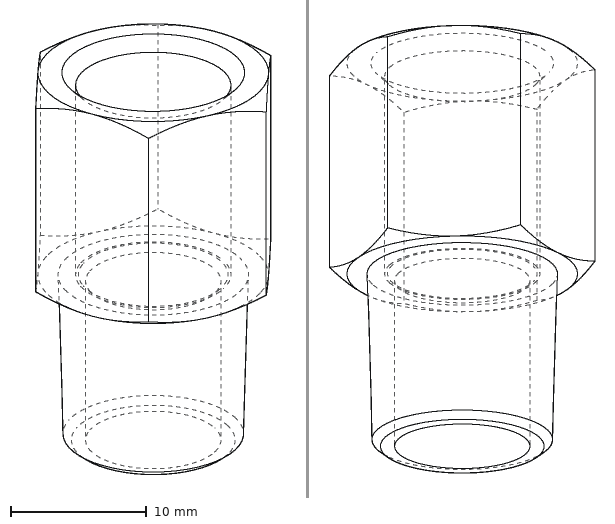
import cadquery as cq
import math

total_height = 29.9
hex_height = 16.45
across_flats = 17.0
across_corners = across_flats / math.cos(math.pi / 6)

corner_chamfer_angle = math.radians(30)
corner_chamfer_width = (across_corners - across_flats) / 2
corner_chamfer_height = corner_chamfer_width * math.tan(corner_chamfer_angle)

spigot_top_diameter = 14.05
spigot_bottom_diameter = 13.35
spigot_chamfer_width = 0.63
spigot_chamfer_height = 0.5

mouth_diameter = 13.48
socket_diameter = 11.45
seat_diameter = 11.03
bore_diameter = 10.0
socket_depth = hex_height
mouth_depth = (mouth_diameter - socket_diameter) / 2
seat_depth = (seat_diameter - bore_diameter) / 2

spigot_height = total_height - hex_height


def revolved(profile):
    """Revolve a closed (radius, height) profile about the Z axis."""
    return cq.Workplane("XZ").polyline(profile).close().revolve(360, (0, 0), (0, 1))


def hexagon_body():
    """Hexagonal prism whose corners are cut by a cone at both ends."""
    prism = (
        cq.Workplane("XY")
        .workplane(offset=spigot_height)
        .polygon(6, across_corners)
        .extrude(hex_height)
    )
    envelope = revolved([
        (0, spigot_height),
        (across_flats / 2, spigot_height),
        (across_corners / 2, spigot_height + corner_chamfer_height),
        (across_corners / 2, total_height - corner_chamfer_height),
        (across_flats / 2, total_height),
        (0, total_height),
    ])
    return prism.intersect(envelope)


def tapered_spigot():
    """Round shank narrowing downwards, with a chamfered lower edge."""
    return revolved([
        (0, 0),
        (spigot_bottom_diameter / 2 - spigot_chamfer_width, 0),
        (spigot_bottom_diameter / 2, spigot_chamfer_height),
        (spigot_top_diameter / 2, spigot_height),
        (0, spigot_height),
    ])


def stepped_bore():
    """Through bore, conical seat, wider socket and its conical mouth."""
    return revolved([
        (0, 0),
        (bore_diameter / 2, 0),
        (bore_diameter / 2, total_height - socket_depth - seat_depth),
        (seat_diameter / 2, total_height - socket_depth),
        (socket_diameter / 2, total_height - socket_depth),
        (socket_diameter / 2, total_height - mouth_depth),
        (mouth_diameter / 2, total_height),
        (0, total_height),
    ])


result = hexagon_body().union(tapered_spigot()).cut(stepped_bore())